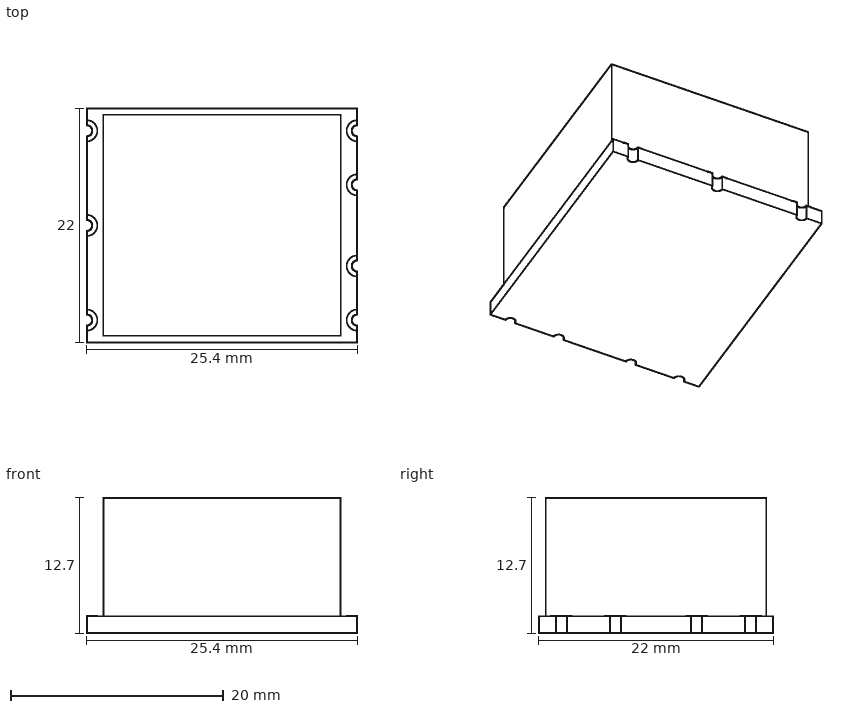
import cadquery as cq

BOARD_LENGTH = 25.4
BOARD_WIDTH = 22.0
BOARD_THICKNESS = 1.6
TOTAL_HEIGHT = 12.7
COVER_LENGTH = 22.3
COVER_WIDTH = 20.75

NOTCH_RADIUS = 0.53
COPPER_THICKNESS = 0.035
LAND_RADIUS = 1.0
BORE_RADIUS = NOTCH_RADIUS - COPPER_THICKNESS
CONTACT_TOP = BOARD_THICKNESS + COPPER_THICKNESS

OUTER_OFFSET = 8.9
INNER_OFFSET = 3.8
EDGE_X = BOARD_LENGTH / 2
LEFT_CONTACTS = [(-EDGE_X, y) for y in (-OUTER_OFFSET, 0, OUTER_OFFSET)]
RIGHT_CONTACTS = [(EDGE_X, y) for y in (-OUTER_OFFSET, -INNER_OFFSET, INNER_OFFSET, OUTER_OFFSET)]
CONTACT_CENTRES = LEFT_CONTACTS + RIGHT_CONTACTS


def make_block(length, width, bottom, top):
    """Rectangular block centred on the Z axis, between two heights."""
    return cq.Workplane("XY").workplane(offset=bottom).rect(length, width).extrude(top - bottom)


def make_disc(x, y, radius, bottom, top):
    """Upright cylinder centred on (x, y), between two heights."""
    return cq.Workplane("XY", origin=(x, y, bottom)).circle(radius).extrude(top - bottom)


def make_board():
    """Flat board with a half-round notch in its side edges at every contact."""
    blank = make_block(BOARD_LENGTH, BOARD_WIDTH, 0, BOARD_THICKNESS)
    for x, y in CONTACT_CENTRES:
        blank = blank.cut(make_disc(x, y, NOTCH_RADIUS, 0, BOARD_THICKNESS))
    return blank.solids()


def make_cover():
    """Plain rectangular cover standing on the middle of the board."""
    return make_block(COVER_LENGTH, COVER_WIDTH, BOARD_THICKNESS, TOTAL_HEIGHT)


def make_contact(x, y):
    """Plating of one notch with its land, trimmed flush with the edge of the board."""
    barrel = make_disc(x, y, NOTCH_RADIUS, 0, BOARD_THICKNESS)
    land = make_disc(x, y, LAND_RADIUS, BOARD_THICKNESS, CONTACT_TOP)
    bore = make_disc(x, y, BORE_RADIUS, 0, CONTACT_TOP)
    board_outline = make_block(BOARD_LENGTH, BOARD_WIDTH, 0, CONTACT_TOP)
    return barrel.union(land).cut(bore).intersect(board_outline).solids()


board = make_board()
cover = make_cover()
contacts = [make_contact(x, y) for x, y in CONTACT_CENTRES]

result = cq.Compound.makeCompound([board.val(), cover.val(), *[contact.val() for contact in contacts]])